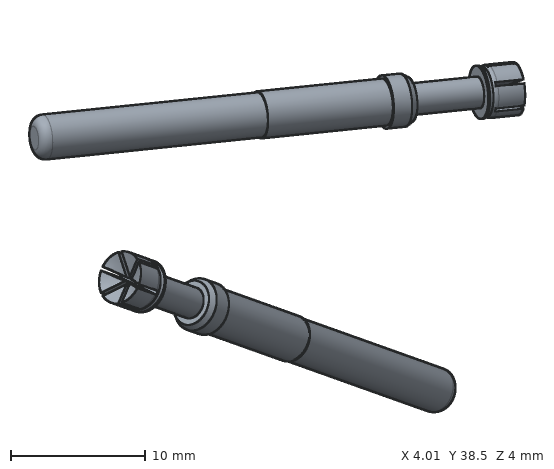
import cadquery as cq

LENGTH = 38.5
HEAD_RADIUS = 2.0

FACE_CONE_DEPTH = 1.15

GROOVE_START = 2.1
GROOVE_BOTTOM = 2.5
GROOVE_END = 2.8
GROOVE_RADIUS = 1.9
FLANGE_END = 2.95
GROOVE_FLANK_RADIUS = 0.6

PLUNGER_RADIUS = 1.2
COLLAR_START = 8.5
COLLAR_END = 10.5
COLLAR_CHAMFER_LENGTH = 0.55
COLLAR_CHAMFER_HEIGHT = 0.3

PRESS_FIT_END = 20.5
PRESS_FIT_RADIUS = 1.77
BARREL_RADIUS = 1.7
TAIL_ROUND = 0.8

SLOT_COUNT = 3
SLOT_WIDTH = 0.3
SLOT_DEPTH = 2.27


def station(distance_from_head):
    """Y coordinate of a station; the part is centred on the origin."""
    return LENGTH / 2 - distance_from_head


def turned_body():
    chamfer_end = COLLAR_START + COLLAR_CHAMFER_LENGTH
    tail_tangent = LENGTH - TAIL_ROUND
    profile = (
        cq.Workplane("XY")
        .moveTo(0, station(FACE_CONE_DEPTH))
        .lineTo(HEAD_RADIUS, station(0))
        .lineTo(HEAD_RADIUS, station(GROOVE_START))
        .radiusArc((GROOVE_RADIUS, station(GROOVE_BOTTOM)), GROOVE_FLANK_RADIUS)
        .radiusArc((HEAD_RADIUS, station(GROOVE_END)), -GROOVE_FLANK_RADIUS)
        .lineTo(HEAD_RADIUS, station(FLANGE_END))
        .lineTo(PLUNGER_RADIUS, station(FLANGE_END))
        .lineTo(PLUNGER_RADIUS, station(COLLAR_START))
        .lineTo(HEAD_RADIUS - COLLAR_CHAMFER_HEIGHT, station(COLLAR_START))
        .lineTo(HEAD_RADIUS, station(chamfer_end))
        .lineTo(HEAD_RADIUS, station(COLLAR_END))
        .lineTo(PRESS_FIT_RADIUS, station(COLLAR_END))
        .lineTo(PRESS_FIT_RADIUS, station(PRESS_FIT_END))
        .lineTo(BARREL_RADIUS, station(PRESS_FIT_END))
        .lineTo(BARREL_RADIUS, station(tail_tangent))
        .radiusArc((BARREL_RADIUS - TAIL_ROUND, station(LENGTH)), TAIL_ROUND)
        .lineTo(0, station(LENGTH))
        .close()
    )
    return profile.revolve(360, (0, 0, 0), (0, 1, 0))


def head_slot(angle):
    """Slot across the full head diameter, turned about Y from the Z direction."""
    slot_length = 3 * HEAD_RADIUS
    return (
        cq.Workplane("XY")
        .box(SLOT_WIDTH, SLOT_DEPTH, slot_length)
        .translate((0, station(SLOT_DEPTH / 2), 0))
        .rotate((0, 0, 0), (0, 1, 0), angle)
    )


result = turned_body()
for index in range(SLOT_COUNT):
    result = result.cut(head_slot(index * 180 / SLOT_COUNT))